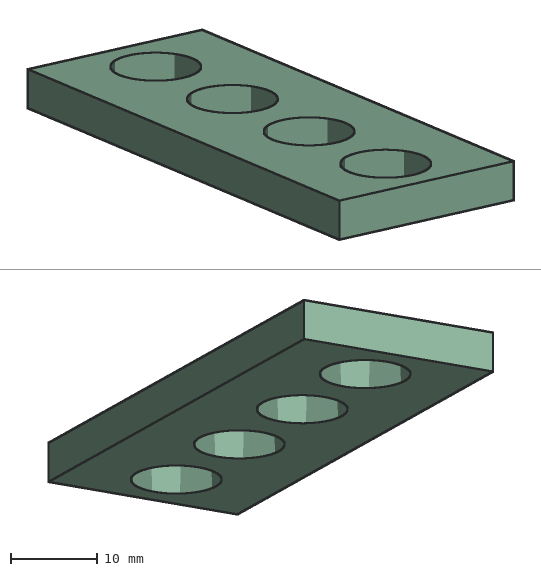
import cadquery as cq

length = 61.0
width = 25.0
thickness = 4.75

hole_count = 4
hole_diameter = 10.5
hole_pitch = 15.0

plate = cq.Workplane("XY").box(length, width, thickness)

result = (
    plate.faces(">Z")
    .workplane()
    .rarray(hole_pitch, width, hole_count, 1)
    .hole(hole_diameter)
)